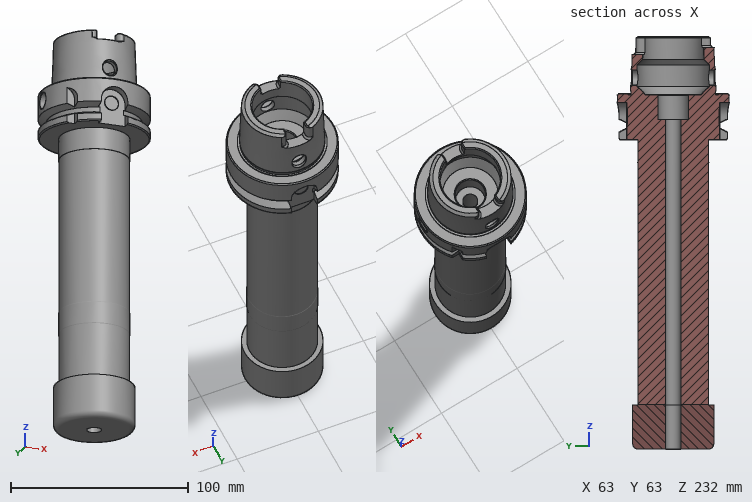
import cadquery as cq
import math

total_height = 232.0
nut_height = 25.0
flange_bottom = 174.0
flange_top = 200.0

nut_diameter = 46.0
nut_fillet = 3.2

shaft_diameter = 40.0
band_diameter = 40.1
lower_band_start = 57.0
lower_band_end = 69.4
upper_band_start = 161.2
band_bevel = 0.5
through_diameter = 8.4

flange_diameter = 63.0
flange_chamfer = 0.7
neck_diameter = 54.3
neck_bottom = 180.7
neck_top = 183.5
groove_bottom = 178.5
groove_top = 185.5

taper_top_diameter = 46.0
taper_foot_diameter = 48.3
taper_foot = 201.5
rim_flat_diameter = 42.0
rim_chamfer_height = 1.0
relief_diameter = 47.8
relief_outer_diameter = 50.5
relief_step = 201.0
relief_floor = 199.5

bore_diameter = 34.0
bore_chamfer = 0.7
bore_end = 219.2
cavity_floor_diameter = 31.3
cavity_floor = 199.5
undercut_diameter = 40.5
socket_diameter = 17.0
socket_chamfer = 0.58
socket_floor = 185.5

slot_width = 12.0
slot_corner_radius = 2.5
slot_floor_chamfer = 1.2
slot_rim_chamfer = 0.7
front_slot_depth = 6.0
back_slot_depth = 10.0

cross_hole_diameter = 8.4
cross_hole_chamfer = 0.81
cross_hole_height = 209.0
side_hole_diameter = 9.0
side_hole_chamfer = 0.5
side_hole_height = 193.0
side_hole_depth = 4.6

keyway_width = 16.0
keyway_floor = 26.2
keyway_arch_height = 187.0
keyway_hole_diameter = 8.4
keyway_hole_depth = 0.5

notch_offset = 20.0
notch_arc_center = 188.2
notch_radius = 7.5


def revolve_profile(points):
    """Solid of revolution about Z from (radius, height) points."""
    return cq.Workplane("XZ").polyline(points).close().revolve(360, (0, 0), (0, 1))


def disc(diameter, bottom, top):
    return cq.Workplane("XY").workplane(offset=bottom).circle(diameter / 2).extrude(top - bottom)


def make_blank():
    """Outside of the holder: shaft, flange and taper shank."""
    shaft_r = shaft_diameter / 2
    band_r = band_diameter / 2
    flange_r = flange_diameter / 2
    neck_r = neck_diameter / 2
    return revolve_profile([
        (0, nut_height),
        (shaft_r, nut_height),
        (shaft_r, lower_band_start - band_bevel),
        (band_r, lower_band_start),
        (band_r, lower_band_end),
        (shaft_r, lower_band_end + band_bevel),
        (shaft_r, upper_band_start),
        (band_r, upper_band_start),
        (band_r, flange_bottom),
        (flange_r - flange_chamfer, flange_bottom),
        (flange_r, flange_bottom + flange_chamfer),
        (flange_r, groove_bottom),
        (neck_r, neck_bottom),
        (neck_r, neck_top),
        (flange_r, groove_top),
        (flange_r, flange_top - flange_chamfer),
        (flange_r - flange_chamfer, flange_top),
        (relief_outer_diameter / 2, flange_top),
        (relief_outer_diameter / 2, relief_floor),
        (relief_diameter / 2, relief_floor),
        (relief_diameter / 2, relief_step),
        (taper_foot_diameter / 2, taper_foot),
        (taper_top_diameter / 2, total_height - rim_chamfer_height),
        (rim_flat_diameter / 2, total_height),
        (0, total_height),
    ])


def make_cavity():
    """Stepped hollow from the rim down to the socket floor."""
    bore_r = bore_diameter / 2
    undercut_r = undercut_diameter / 2
    floor_r = cavity_floor_diameter / 2
    socket_r = socket_diameter / 2
    return revolve_profile([
        (0, socket_floor),
        (socket_r, socket_floor),
        (socket_r, cavity_floor - socket_chamfer),
        (socket_r + socket_chamfer, cavity_floor),
        (floor_r, cavity_floor),
        (undercut_r, cavity_floor + undercut_r - floor_r),
        (undercut_r, bore_end + bore_r - undercut_r),
        (bore_r, bore_end),
        (bore_r, total_height - bore_chamfer),
        (bore_r + bore_chamfer, total_height),
        (0, total_height),
    ])


def make_drive_slot(side, depth):
    """Slot across one side of the rim (side is +1 or -1 along Y), flared by rounded outer corners."""
    rim_r = taper_top_diameter / 2
    outer_y = flange_diameter / 2
    wall_x = slot_width / 2
    center_r = rim_r - slot_corner_radius
    center_x = wall_x + slot_corner_radius
    center_y = math.sqrt(center_r ** 2 - center_x ** 2)
    end_x = center_x * rim_r / center_r
    end_y = center_y * rim_r / center_r
    middle_angle = (math.pi + math.atan2(center_y, center_x)) / 2
    middle_x = center_x + slot_corner_radius * math.cos(middle_angle)
    middle_y = center_y + slot_corner_radius * math.sin(middle_angle)

    def outline(height):
        return (
            cq.Workplane("XY")
            .workplane(offset=height)
            .moveTo(-wall_x, 0)
            .lineTo(wall_x, 0)
            .lineTo(wall_x, center_y)
            .threePointArc((middle_x, middle_y), (end_x, end_y))
            .lineTo(end_x, outer_y)
            .lineTo(-end_x, outer_y)
            .lineTo(-end_x, end_y)
            .threePointArc((-middle_x, middle_y), (-wall_x, center_y))
            .close()
        )

    slot = outline(total_height - depth).extrude(depth).faces("<Z").chamfer(slot_floor_chamfer)
    flare = outline(total_height - slot_rim_chamfer).extrude(slot_rim_chamfer, taper=-45)
    cutter = slot.union(flare)
    return cutter if side > 0 else cutter.rotate((0, 0, 0), (0, 0, 1), 180)


def make_cross_hole():
    """Hole through both walls of the shank along Y, chamfered on the outside."""
    hole_r = cross_hole_diameter / 2
    foot_r = taper_foot_diameter / 2
    taper_length = total_height - rim_chamfer_height - taper_foot
    slope = (foot_r - taper_top_diameter / 2) / taper_length
    surface_r = foot_r - slope * (cross_hole_height - taper_foot)
    mouth_r = hole_r + cross_hole_chamfer + foot_r - surface_r
    half = (
        cq.Workplane("YZ")
        .polyline([
            (0, cross_hole_height),
            (0, cross_hole_height + hole_r),
            (surface_r - cross_hole_chamfer, cross_hole_height + hole_r),
            (foot_r, cross_hole_height + mouth_r),
            (foot_r, cross_hole_height),
        ])
        .close()
        .revolve(360, (0, cross_hole_height), (1, cross_hole_height))
    )
    return half.union(half.mirror("XZ"))


def make_side_hole():
    """Chamfered blind hole in the -X side of the flange."""
    flange_r = flange_diameter / 2
    hole_r = side_hole_diameter / 2
    return (
        cq.Workplane("XZ")
        .polyline([
            (-flange_r, side_hole_height),
            (-flange_r, side_hole_height + hole_r + side_hole_chamfer),
            (side_hole_chamfer - flange_r, side_hole_height + hole_r),
            (side_hole_depth - flange_r, side_hole_height + hole_r),
            (side_hole_depth - flange_r, side_hole_height),
        ])
        .close()
        .revolve(360, (0, side_hole_height), (1, side_hole_height))
    )


def make_keyway(side):
    """Arched keyway open at the flange bottom, with a shallow round recess in its floor."""
    depth = flange_diameter / 2 - keyway_floor
    keyway = (
        cq.Workplane("XZ", origin=(0, -keyway_floor, 0))
        .moveTo(-keyway_width / 2, flange_bottom)
        .lineTo(keyway_width / 2, flange_bottom)
        .lineTo(keyway_width / 2, keyway_arch_height)
        .threePointArc((0, keyway_arch_height + keyway_width / 2), (-keyway_width / 2, keyway_arch_height))
        .close()
        .extrude(depth)
    )
    recess = (
        cq.Workplane("XZ", origin=(0, keyway_hole_depth - keyway_floor, keyway_arch_height))
        .circle(keyway_hole_diameter / 2)
        .extrude(keyway_hole_depth)
    )
    cutter = keyway.union(recess)
    return cutter.mirror("XZ") if side > 0 else cutter


def make_notch():
    """Corner notch towards -X and -Y, its flat floor running out in an arc at the top."""
    outside = -flange_diameter / 2
    arc_x = -notch_offset - notch_radius
    diagonal = notch_radius * math.cos(math.pi / 4)
    return (
        cq.Workplane("XZ", origin=(0, -notch_offset, 0))
        .moveTo(outside, flange_bottom)
        .lineTo(-notch_offset, flange_bottom)
        .lineTo(-notch_offset, notch_arc_center)
        .threePointArc(
            (arc_x + diagonal, notch_arc_center + diagonal),
            (arc_x, notch_arc_center + notch_radius),
        )
        .lineTo(outside, notch_arc_center + notch_radius)
        .close()
        .extrude(-notch_offset - outside)
    )


def make_holder():
    holder = make_blank().cut(make_cavity())
    holder = holder.cut(disc(through_diameter, nut_height, total_height))
    holder = holder.cut(make_drive_slot(-1, front_slot_depth))
    holder = holder.cut(make_drive_slot(1, back_slot_depth))
    holder = holder.cut(make_cross_hole())
    holder = holder.cut(make_side_hole())
    for side in (-1, 1):
        holder = holder.cut(make_keyway(side))
    return holder.cut(make_notch())


def make_nut():
    nut = disc(nut_diameter, 0, nut_height).faces("<Z").edges().fillet(nut_fillet)
    return nut.cut(disc(through_diameter, 0, nut_height))


holder = make_holder()
nut = make_nut()

result = cq.Compound.makeCompound([holder.val(), nut.val()])